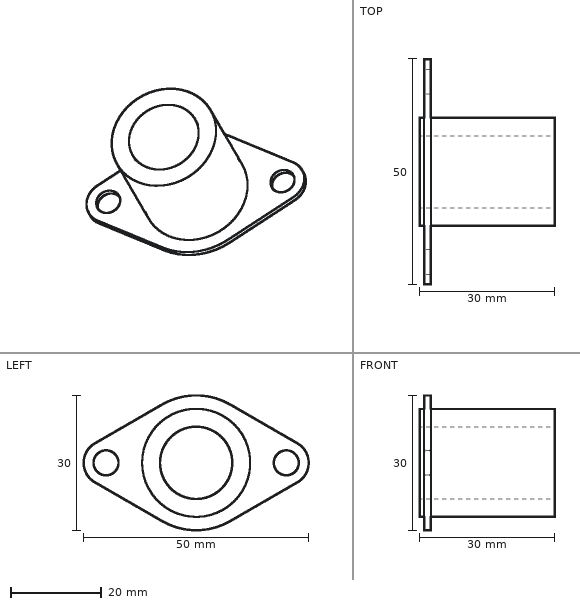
import cadquery as cq
import math

sleeve_length = 30.0
sleeve_diameter = 24.0
bore_diameter = 16.0

flange_setback = 1.0
flange_thickness = 1.5
flange_center_radius = 15.0
flange_tip_radius = 5.0
mounting_hole_diameter = 5.5
mounting_hole_offset = 20.0


def make_sleeve():
    """Plain cylinder, centred on the X axis and starting at X = 0."""
    return cq.Workplane("YZ").circle(sleeve_diameter / 2).extrude(sleeve_length)


def make_flange():
    """Lozenge plate: a central arc joined to two tip arcs by tangent lines."""
    tangent_angle = math.acos((flange_center_radius - flange_tip_radius) / mounting_hole_offset)
    center_y = flange_center_radius * math.cos(tangent_angle)
    center_z = flange_center_radius * math.sin(tangent_angle)
    tip_y = mounting_hole_offset + flange_tip_radius * math.cos(tangent_angle)
    tip_z = flange_tip_radius * math.sin(tangent_angle)
    tip_end = mounting_hole_offset + flange_tip_radius

    plate = (
        cq.Workplane("YZ", origin=(flange_setback, 0, 0))
        .moveTo(-center_y, center_z)
        .threePointArc((0, flange_center_radius), (center_y, center_z))
        .lineTo(tip_y, tip_z)
        .threePointArc((tip_end, 0), (tip_y, -tip_z))
        .lineTo(center_y, -center_z)
        .threePointArc((0, -flange_center_radius), (-center_y, -center_z))
        .lineTo(-tip_y, -tip_z)
        .threePointArc((-tip_end, 0), (-tip_y, tip_z))
        .close()
        .extrude(flange_thickness)
    )
    mounting_holes = (
        cq.Workplane("YZ", origin=(flange_setback, 0, 0))
        .pushPoints([(-mounting_hole_offset, 0), (mounting_hole_offset, 0)])
        .circle(mounting_hole_diameter / 2)
        .extrude(flange_thickness)
    )
    return plate.cut(mounting_holes)


def make_bore():
    """Through bore along the full sleeve length."""
    return cq.Workplane("YZ").circle(bore_diameter / 2).extrude(sleeve_length)


result = make_sleeve().union(make_flange()).cut(make_bore())